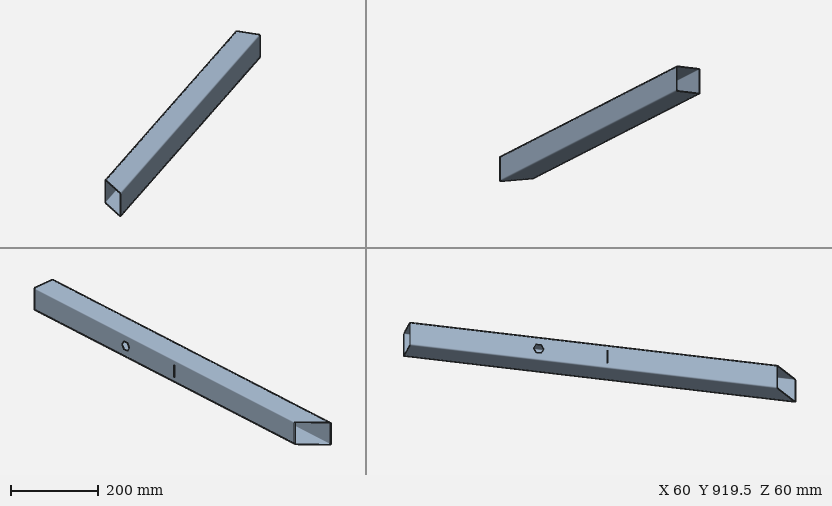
import cadquery as cq

length = 919.5
side = 60.0
wall = 2.0
outer_radius = 4.0
inner_radius = outer_radius - wall

hole_across_corners = 24.0
hole_from_end = 302.0
slit_width = 2.0
slit_height = 30.0
slit_from_end = 462.5


def rounded_bar(width, radius):
    """Full-length square bar with rounded long edges."""
    return cq.Workplane("XY").box(width, length, width).edges("|Y").fillet(radius)


def mitre_cutter():
    """Wedge that trims the -Y end at 45 degrees, leaving the +X side longest."""
    return (
        cq.Workplane("XY")
        .polyline([
            (-side / 2, -length / 2),
            (side / 2, -length / 2),
            (-side / 2, -length / 2 + side),
        ])
        .close()
        .extrude(side, both=True)
    )


def side_wall_plane(distance_from_end):
    """Sketch plane on the -X face, facing into the tube."""
    return cq.Workplane("YZ", origin=(-side / 2, length / 2 - distance_from_end, 0))


tube = rounded_bar(side, outer_radius).cut(rounded_bar(side - 2 * wall, inner_radius))
tube = tube.cut(mitre_cutter())

cut_depth = 2 * wall
hex_hole = side_wall_plane(hole_from_end).polygon(6, hole_across_corners).extrude(cut_depth)
slit = side_wall_plane(slit_from_end).rect(slit_width, slit_height).extrude(cut_depth)

result = tube.cut(hex_hole).cut(slit)